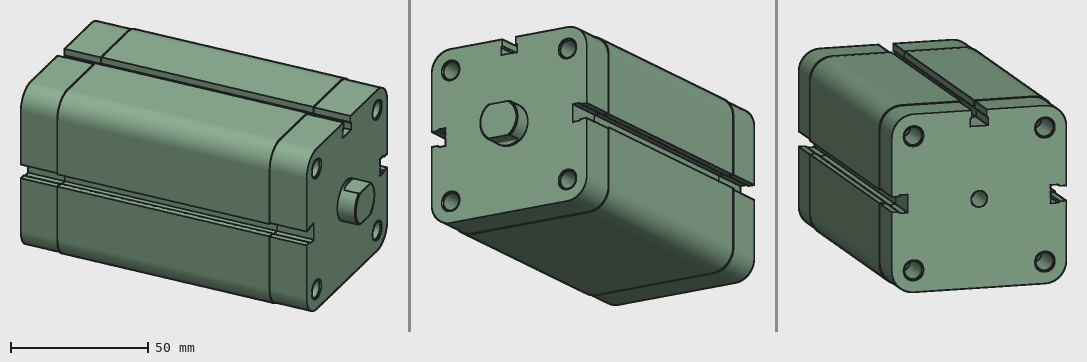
import cadquery as cq

total_length = 123.5
rod_protrusion = 7.4
cap_length = 15.0
body_length = total_length - rod_protrusion
barrel_length = body_length - 2 * cap_length

barrel_width = 67.0
corner_radius = 8.5
cap_inset = 0.31

slot_opening = 5.1
slot_inner_width = 6.8
slot_lip_depth = 2.6
slot_depth = 6.3
slot_overshoot = 1.2
slot_angles = (0, 90, 270)

hole_pitch = 50.0
hole_diameter = 6.7
hole_chamfer = 0.5
hole_chamfer_angle = 45

centring_diameter = 6.0

rod_diameter = 16.0
flat_width = 13.0
flat_length = 6.4
flat_root_radius = 0.5
rod_chamfer = 0.4


def slot_cutter(inset, length):
    """T-slot prism in the top side; the inset widens the slot all round except at its floor."""
    half_opening = slot_opening / 2 + inset
    half_inner = slot_inner_width / 2
    surface = barrel_width / 2
    slope_start = surface - slot_lip_depth
    slope_end = slope_start - (slot_inner_width - slot_opening) / 2
    floor = surface - slot_depth
    top = surface + slot_overshoot
    right_side = [
        (half_opening, top),
        (half_opening, slope_start - inset),
        (half_inner, slope_end),
        (half_inner, floor),
    ]
    left_side = [(-y, z) for y, z in reversed(right_side)]
    return cq.Workplane("YZ").polyline(right_side + left_side).close().extrude(length)


def profile_block(inset, length):
    """Rounded square block along X with its sensor slots and fixing holes."""
    width = barrel_width - 2 * inset
    block = (
        cq.Workplane("YZ")
        .rect(width, width)
        .extrude(length)
        .edges("|X")
        .fillet(corner_radius - inset)
    )
    cutter = slot_cutter(inset, length)
    for angle in slot_angles:
        block = block.cut(cutter.rotate((0, 0, 0), (1, 0, 0), angle))
    holes = (
        cq.Workplane("YZ")
        .rect(hole_pitch, hole_pitch, forConstruction=True)
        .vertices()
        .circle(hole_diameter / 2)
        .extrude(length)
    )
    return block.cut(holes)


def make_cap():
    """End cap with its outer face at X = 0 and the fixing holes chamfered there."""
    countersinks = (
        cq.Workplane("YZ")
        .rect(hole_pitch, hole_pitch, forConstruction=True)
        .vertices()
        .circle(hole_diameter / 2 + hole_chamfer)
        .extrude(hole_chamfer, taper=hole_chamfer_angle)
    )
    return profile_block(cap_inset, cap_length).cut(countersinks)


def make_rear_cap():
    centring_hole = cq.Workplane("YZ").circle(centring_diameter / 2).extrude(cap_length)
    return make_cap().cut(centring_hole)


def make_front_cap():
    return make_cap().mirror("YZ").translate((body_length, 0, 0))


def make_barrel():
    return profile_block(0, barrel_length).translate((cap_length, 0, 0))


def flat_cutter():
    """Block that cuts the top wrench flat, rounded where the flat ends at the collar."""
    return (
        cq.Workplane("XY")
        .box(2 * flat_length, rod_diameter, rod_diameter, centered=(False, True, False))
        .edges("|Y and <X and <Z")
        .fillet(flat_root_radius)
        .translate((total_length - flat_length, 0, flat_width / 2))
    )


def make_rod():
    """Rod end standing on the front cap, with flats on its top and bottom."""
    rod = (
        cq.Workplane("YZ")
        .workplane(offset=body_length)
        .circle(rod_diameter / 2)
        .extrude(rod_protrusion)
        .faces(">X")
        .chamfer(rod_chamfer)
    )
    top_cutter = flat_cutter()
    return rod.cut(top_cutter).cut(top_cutter.mirror("XY"))


rear_cap = make_rear_cap()
barrel = make_barrel()
front_cap = make_front_cap()
rod = make_rod()

result = cq.Compound.makeCompound([rear_cap.val(), barrel.val(), front_cap.val(), rod.val()])